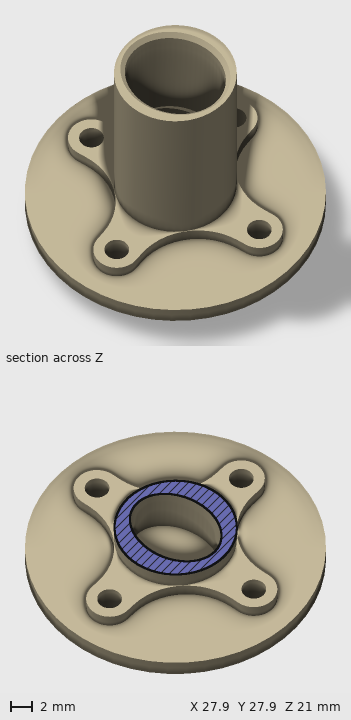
import cadquery as cq
import math

flange_radius = 13.97
body_radius = 5.7
total_height = 20.95
flange_bottom = 1.6
flange_top = 3.2
pad_top = 4.47

lobe_count = 4
lobe_radius = 2.18
hole_radius = 1.15
hole_circle_radius = 9.5
waist_radius = 5.73

mouth_size = (5.28, 4.72)
upper_top_size = (4.85, 4.3)
upper_bottom_size = (4.7, 4.1)
lower_top_size = (4.67, 3.75)
lower_bottom_size = (4.58, 3.45)
chamfer_depth = mouth_size[0] - upper_top_size[0]
ledge_height = 10.62
bore_floor = flange_bottom


def disc(radius, bottom, top):
    return cq.Workplane("XY").workplane(offset=bottom).circle(radius).extrude(top - bottom)


def tapered_oval(bottom_size, top_size, bottom, top):
    """Solid blending from one ellipse to another."""
    return (
        cq.Workplane("XY")
        .workplane(offset=bottom)
        .ellipse(*bottom_size)
        .workplane(offset=top - bottom)
        .ellipse(*top_size)
        .loft(ruled=True)
    )


def rotated(point, angle):
    x, y = point
    return (
        x * math.cos(angle) - y * math.sin(angle),
        x * math.sin(angle) + y * math.cos(angle),
    )


def lobed_pad():
    """Lobes joined by concave arcs tangent to their straight sides."""
    arc_center = (waist_radius - lobe_radius) / (math.sqrt(2) - 1)
    waist_coordinate = waist_radius / math.sqrt(2)
    outline = cq.Workplane("XY").workplane(offset=flange_bottom).moveTo(arc_center, -lobe_radius)
    for index in range(lobe_count):
        angle = index * 2 * math.pi / lobe_count
        outline = (
            outline.lineTo(*rotated((hole_circle_radius, -lobe_radius), angle))
            .threePointArc(
                rotated((hole_circle_radius + lobe_radius, 0), angle),
                rotated((hole_circle_radius, lobe_radius), angle),
            )
            .lineTo(*rotated((arc_center, lobe_radius), angle))
            .threePointArc(
                rotated((waist_coordinate, waist_coordinate), angle),
                rotated((lobe_radius, arc_center), angle),
            )
        )
    return outline.close().extrude(pad_top - flange_bottom)


def mounting_holes():
    return (
        cq.Workplane("XY")
        .polarArray(hole_circle_radius, 0, 360, lobe_count)
        .circle(hole_radius)
        .extrude(pad_top)
    )


def oval_bore():
    """Chamfered mouth and two tapered stages separated by a narrow ledge."""
    chamfer_bottom = total_height - chamfer_depth
    lower = tapered_oval(lower_bottom_size, lower_top_size, bore_floor, ledge_height)
    upper = tapered_oval(upper_bottom_size, upper_top_size, ledge_height, chamfer_bottom)
    mouth = tapered_oval(upper_top_size, mouth_size, chamfer_bottom, total_height)
    return lower, upper, mouth


result = disc(flange_radius, flange_bottom, flange_top)
result = result.union(disc(body_radius, 0, total_height))
result = result.union(lobed_pad())
result = result.cut(mounting_holes())
for stage in oval_bore():
    result = result.cut(stage)